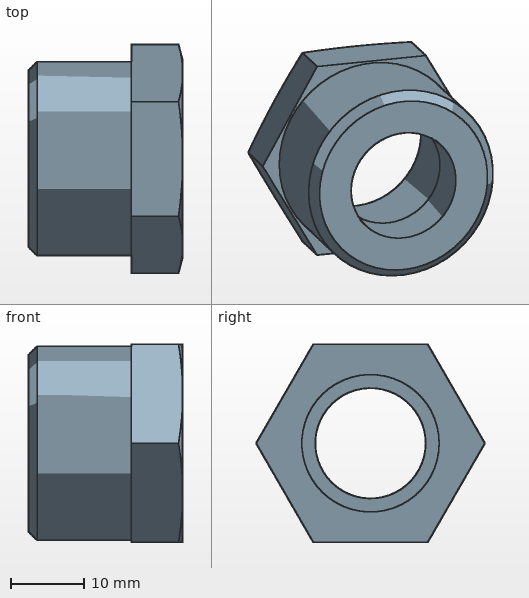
import cadquery as cq
import math

total_length = 21.0
across_corners = 31.18
across_flats = across_corners * math.cos(math.pi / 6)

head_length = 6.98
head_chamfer_angle = 15.0

shank_diameter = 26.45
shank_chamfer = 1.2

bore_diameter = 15.0
bore_length = 6.98
socket_diameter = 18.7

shank_length = total_length - head_length
socket_depth = total_length - bore_length


def cylinder(start, length, diameter):
    """Solid cylinder along +X from the given X position."""
    return cq.Workplane("YZ", origin=(start, 0, 0)).circle(diameter / 2).extrude(length)


def make_head():
    """Hexagon with corners on Y, its outer end trimmed by a shallow cone."""
    hexagon = (
        cq.Workplane("YZ", origin=(shank_length, 0, 0))
        .polygon(6, across_corners)
        .extrude(head_length)
    )
    corner_radius = across_corners / 2
    chamfer_width = (across_corners - across_flats) / 2
    chamfer_height = chamfer_width * math.tan(math.radians(head_chamfer_angle))
    envelope = (
        cylinder(shank_length, head_length, 2 * corner_radius)
        .faces(">X")
        .chamfer(chamfer_height, chamfer_width)
    )
    return hexagon.intersect(envelope)


def make_shank():
    """Round shank with a chamfered free end."""
    return cylinder(0, shank_length, shank_diameter).faces("<X").chamfer(shank_chamfer)


bore = cylinder(0, total_length, bore_diameter)
socket = cylinder(bore_length, socket_depth, socket_diameter)

result = make_shank().union(make_head()).cut(bore).cut(socket)